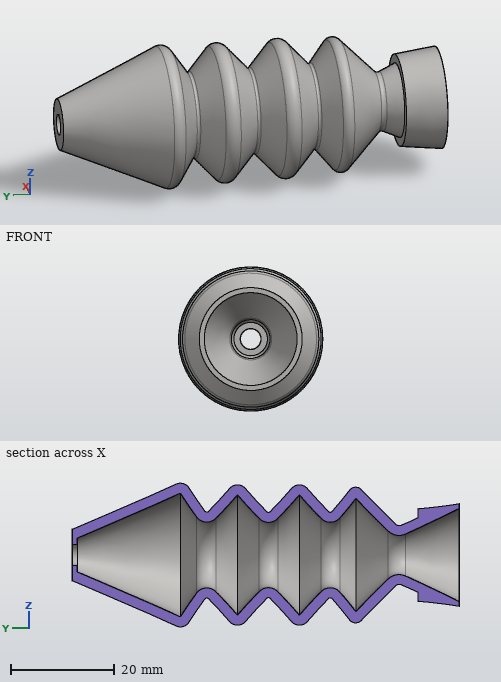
import cadquery as cq
import math


LENGTH = 75.0
WALL = 2.0

RIM_RADIUS = 10.0
RIM_BORE_RADIUS = 9.0
COLLAR_LENGTH = 8.0
COLLAR_TOP_RADIUS = 9.0
FLARE_RADIUS = 7.3

NECK_RADIUS = 5.55
NECK_Y = 11.85
NECK_FILLET = 1.0

VALLEY_RADIUS = 8.1
VALLEY_FILLET = 0.45
FIRST_VALLEY_Y = 25.0
FOLD_PITCH = 12.0
FIRST_RIDGE_RADIUS = 13.95
FIRST_RIDGE_Y = 20.2
FIRST_RIDGE_FILLET = 1.5
RIDGE_RADIUS = 14.6
RIDGE_FILLET = 2.0
FULL_FOLDS = 2

SHOULDER_RADIUS = 14.5
SHOULDER_Y = 53.3
SHOULDER_FILLET = 1.95
NOSE_RADIUS = 5.0
NOSE_WALL = 1.0
NOSE_HOLE_DIAMETER = 4.0


def bellows_corners():
    """Outer corners from the neck to the shoulder, as (radius, y, fillet)."""
    corners = [
        (NECK_RADIUS, NECK_Y, NECK_FILLET),
        (FIRST_RIDGE_RADIUS, FIRST_RIDGE_Y, FIRST_RIDGE_FILLET),
        (VALLEY_RADIUS, FIRST_VALLEY_Y, VALLEY_FILLET),
    ]
    for fold in range(FULL_FOLDS):
        valley_y = FIRST_VALLEY_Y + fold * FOLD_PITCH
        corners.append((RIDGE_RADIUS, valley_y + FOLD_PITCH / 2, RIDGE_FILLET))
        corners.append((VALLEY_RADIUS, valley_y + FOLD_PITCH, VALLEY_FILLET))
    corners.append((SHOULDER_RADIUS, SHOULDER_Y, SHOULDER_FILLET))
    return corners


def unit(start, end):
    """Unit vector from one profile point to another."""
    dr = end[0] - start[0]
    dy = end[1] - start[1]
    size = math.hypot(dr, dy)
    return dr / size, dy / size


def inset_corner(before, corner, after):
    """Corner of the cavity, one wall thickness inside the outer corner."""
    r_in, y_in = unit(before, corner)
    r_out, y_out = unit(corner, after)
    reach = WALL / (1 + r_in * r_out + y_in * y_out)
    radius = corner[0] - reach * (y_in + y_out)
    y = corner[1] + reach * (r_in + r_out)
    is_valley = corner[0] < min(before[0], after[0])
    fillet = corner[2] + WALL if is_valley else max(corner[2] - WALL, 0)
    return radius, y, fillet


def revolved_profile(corners):
    """Solid of revolution about Y of a closed outline with rounded corners."""
    outline = cq.Workplane("XY").moveTo(*corners[0][:2])
    for before, corner, after in zip(corners, corners[1:], corners[2:]):
        radius, y, fillet = corner
        if fillet == 0:
            outline = outline.lineTo(radius, y)
            continue
        back = unit(corner, before)
        ahead = unit(corner, after)
        half_angle = math.acos(back[0] * ahead[0] + back[1] * ahead[1]) / 2
        setback = fillet / math.tan(half_angle)
        arc_gap = fillet / math.sin(half_angle) - fillet
        bisector = unit((0, 0), (back[0] + ahead[0], back[1] + ahead[1]))
        outline = outline.lineTo(radius + setback * back[0], y + setback * back[1])
        outline = outline.threePointArc(
            (radius + arc_gap * bisector[0], y + arc_gap * bisector[1]),
            (radius + setback * ahead[0], y + setback * ahead[1]),
        )
    outline = outline.lineTo(*corners[-1][:2]).close()
    return outline.revolve(360, (0, 0), (0, 1))


flare_foot = (FLARE_RADIUS, COLLAR_LENGTH, 0)
nose_edge = (NOSE_RADIUS, LENGTH, 0)
bellows = bellows_corners()

body = revolved_profile(
    [
        (0, 0, 0),
        (RIM_RADIUS, 0, 0),
        (COLLAR_TOP_RADIUS, COLLAR_LENGTH, 0),
        flare_foot,
        *bellows,
        nose_edge,
        (0, LENGTH, 0),
    ]
)

skin = [flare_foot, *bellows, nose_edge]
inner_bellows = [inset_corner(*trio) for trio in zip(skin, skin[1:], skin[2:])]
nose_slope = (SHOULDER_RADIUS - NOSE_RADIUS) / (LENGTH - SHOULDER_Y)
nose_cavity_radius = NOSE_RADIUS + nose_slope * NOSE_WALL - WALL * math.hypot(1, nose_slope)
nose_cavity_y = LENGTH - NOSE_WALL
cavity = revolved_profile(
    [
        (0, 0, 0),
        (RIM_BORE_RADIUS, 0, 0),
        *inner_bellows,
        (nose_cavity_radius, nose_cavity_y, 0),
        (0, nose_cavity_y, 0),
    ]
)

nose_hole = (
    cq.Workplane("XZ", origin=(0, LENGTH, 0))
    .circle(NOSE_HOLE_DIAMETER / 2)
    .extrude(2 * NOSE_WALL)
)

result = body.cut(cavity).cut(nose_hole)